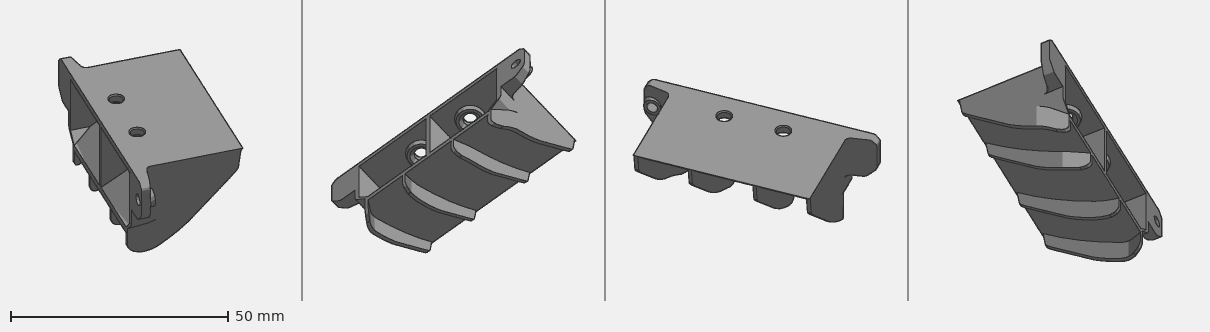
import cadquery as cq
import math

width = 57.5
depth = 27.2
height = 24.2
half_body = 21.8
half_cavity = 20.5
divider = 1.15
roof = 1.55

floor_thickness = 1.6
underside_front_z = -19.8
underside_mid = (6.85, -16.0)

mouth_bottom_z = underside_front_z + floor_thickness
cavity_chamfer = 2.6
corner_z = -15.45
corner_rounding = 2.0

leg_front_x = 18.8
leg_thickness = 1.0
rib_front_x = 7.65
rib_rear_x = 8.4
rib_thickness = 0.8
bend_y = 4.9
bend_tangent = 1.9
straight_y = bend_y + bend_tangent
fin_rear_y = 26.8
fin_toe_radius = 1.6

fin_belly_start = (2.6, -height)
fin_belly_mid = (7.0, -22.1)
fin_belly_end = (13.85, -17.35)
fin_slope_end = (24.1, -7.4)
fin_heel_mid = (25.6, -5.85)
fin_heel_end = (26.1, -5.1)

ear_height = 11.1
ear_tip_thickness = 2.1
ear_root_thickness = 3.55
ear_root_blend = 1.15
ear_top_chamfer = 1.4
ear_top_rounding = 1.15
ear_bottom_chamfer = 2.6
ear_bottom_rounding = 1.7

screw_x = 26.2
screw_z = -5.5
screw_diameter = 2.7
boss_diameter = 4.25
boss_end_y = 3.5
boss_flare_y = 3.0
boss_flare = 0.75

roof_hole_x = 7.3
roof_hole_y = 6.5
roof_hole_diameter = 3.3
roof_hole_chamfer = 0.3
roof_hole_exit_chamfer = 1.0
collar_top_diameter = 7.25
collar_bottom_diameter = 6.55
collar_height = 1.25


def extrude_across_body(side_outline):
    """Extrude a closed YZ outline both ways from the mid plane to the body sides."""
    return side_outline.extrude(half_body, both=True)


def extrude_along_y(front_outline, length):
    """Extrude a closed XZ outline from the front face towards the rear."""
    return front_outline.extrude(-length)


def above_floor_arc(rise):
    """Solid between the top plane and the underside arc lifted by the given rise."""
    outline = (
        cq.Workplane("YZ")
        .moveTo(0, 0)
        .lineTo(0, underside_front_z + rise)
        .threePointArc((underside_mid[0], underside_mid[1] + rise), (depth, rise))
    )
    if rise > 0:
        outline = outline.lineTo(depth, 0)
    return extrude_across_body(outline.close())


def fin_envelope():
    """Side shape shared by every fin, from the rounded front toe to the rear corner."""
    outline = (
        cq.Workplane("YZ")
        .moveTo(0, 0)
        .lineTo(0, -height + fin_toe_radius)
        .radiusArc((fin_toe_radius, -height), -fin_toe_radius)
        .lineTo(*fin_belly_start)
        .threePointArc(fin_belly_mid, fin_belly_end)
        .lineTo(*fin_slope_end)
        .lineTo(*fin_heel_mid)
        .lineTo(*fin_heel_end)
        .lineTo(fin_rear_y, 0)
        .close()
    )
    return extrude_across_body(outline)


def bend_start(front_x, rear_x):
    """Point where the slanted front stretch of a fin runs into its bend arc."""
    angle = math.atan2(rear_x - front_x, bend_y)
    return (rear_x - bend_tangent * math.sin(angle), bend_y - bend_tangent * math.cos(angle))


def fin(front_x, rear_x, thickness):
    """Plate that runs straight to the rear and bends inwards near the front."""
    knee_x, knee_y = bend_start(front_x, rear_x)
    return (
        cq.Workplane("XY")
        .moveTo(front_x, 0)
        .lineTo(knee_x, knee_y)
        .tangentArcPoint((rear_x, straight_y), relative=False)
        .lineTo(rear_x, depth)
        .lineTo(rear_x - thickness, depth)
        .lineTo(rear_x - thickness, straight_y)
        .tangentArcPoint((knee_x - thickness, knee_y), relative=False)
        .lineTo(front_x - thickness, 0)
        .close()
        .extrude(-height)
    )


def both_sides(solid):
    return solid.union(solid.mirror("YZ"))


def cavity():
    """Two compartments with chamfered lower outer corners, down to the curved floor."""
    inner_x = divider / 2
    compartment = extrude_along_y(
        cq.Workplane("XZ").polyline([
            (inner_x, -roof),
            (half_cavity, -roof),
            (half_cavity, mouth_bottom_z + cavity_chamfer),
            (half_cavity - cavity_chamfer, mouth_bottom_z),
            (inner_x, mouth_bottom_z),
        ]).close(),
        depth,
    )
    return both_sides(compartment).intersect(above_floor_arc(floor_thickness))


def corner_cut():
    """Material removed outside the bent leg and below the chamfered mouth corner."""
    clear_x = width / 2
    below = extrude_along_y(
        cq.Workplane("XZ").polyline([
            (half_body, corner_z + corner_rounding),
            (half_body, corner_z),
            (leg_front_x, mouth_bottom_z),
            (leg_front_x, -height),
            (clear_x, -height),
            (clear_x, corner_z + corner_rounding),
        ]).close(),
        straight_y,
    )
    mouth_corner = cq.NearestToPointSelector((half_body, straight_y / 2, corner_z))
    below = below.edges("|Y").edges(mouth_corner).fillet(corner_rounding)
    outside = (
        cq.Workplane("XY")
        .moveTo(leg_front_x, 0)
        .lineTo(*bend_start(leg_front_x, half_body))
        .tangentArcPoint((half_body, straight_y), relative=False)
        .lineTo(clear_x, straight_y)
        .lineTo(clear_x, 0)
        .close()
        .extrude(-height)
    )
    return below.intersect(outside)


def ear():
    """Right ear, tapering in thickness, blended into the side wall."""
    tip_x = width / 2
    taper = (ear_root_thickness - ear_tip_thickness) / (tip_x - half_body)
    blend_y = ear_root_thickness - taper * ear_root_blend
    plan = (
        cq.Workplane("XY")
        .moveTo(half_cavity, 0)
        .lineTo(tip_x, 0)
        .lineTo(tip_x, ear_tip_thickness)
        .lineTo(half_body + ear_root_blend, blend_y)
        .tangentArcPoint((half_body, ear_root_thickness + ear_root_blend), relative=False)
        .lineTo(half_cavity, ear_root_thickness + ear_root_blend)
        .close()
        .extrude(-ear_height)
    )
    return plan.intersect(ear_face(half_cavity))


def ear_face(inner_x):
    """Block with the front outline of the right ear, its chamfers blended by arcs."""
    tip_x = width / 2
    block = extrude_along_y(
        cq.Workplane("XZ").polyline([
            (inner_x, 0),
            (tip_x - ear_top_chamfer, 0),
            (tip_x, -ear_top_chamfer),
            (tip_x, -ear_height + ear_bottom_chamfer),
            (tip_x - ear_bottom_chamfer, -ear_height),
            (inner_x, -ear_height),
        ]).close(),
        depth,
    )
    block = block.edges("|Y").edges(chamfer_edges(0, -ear_height / 2)).fillet(ear_top_rounding)
    return block.edges("|Y").edges(chamfer_edges(-ear_height / 2, -ear_height)).fillet(ear_bottom_rounding)


def chamfer_edges(upper_z, lower_z):
    """Selector for the ear edges near the tip between two heights, both included."""
    margin = 0.6
    return cq.selectors.BoxSelector(
        (width / 2 - 2 * ear_bottom_chamfer, 0, upper_z + margin),
        (width / 2 + margin, depth, lower_z - margin),
    )


def screw_boss():
    """Round boss behind the right ear, flared at its base and trimmed to the ear outline."""
    radius = boss_diameter / 2
    boss = (
        cq.Workplane("XY")
        .lineTo(0, boss_end_y)
        .lineTo(radius, boss_end_y)
        .lineTo(radius, boss_flare_y)
        .tangentArcPoint((radius + boss_flare, ear_tip_thickness), relative=False)
        .lineTo(radius + boss_flare, 0)
        .close()
        .revolve(360, (0, 0, 0), (0, 1, 0))
        .translate((screw_x, 0, screw_z))
    )
    return boss.intersect(ear_face(half_body))


def screw_hole():
    return extrude_along_y(
        cq.Workplane("XZ").center(screw_x, screw_z).circle(screw_diameter / 2), depth)


def roof_collar():
    return (
        cq.Workplane("XY", origin=(roof_hole_x, roof_hole_y, -roof))
        .circle(collar_top_diameter / 2)
        .workplane(offset=-collar_height)
        .circle(collar_bottom_diameter / 2)
        .loft()
    )


def roof_hole():
    """Hole through roof and collar, chamfered at both ends."""
    radius = roof_hole_diameter / 2
    bottom = -roof - collar_height
    return (
        cq.Workplane("XZ")
        .polyline([
            (0, 0),
            (radius + roof_hole_chamfer, 0),
            (radius, -roof_hole_chamfer),
            (radius, bottom + roof_hole_exit_chamfer),
            (radius + roof_hole_exit_chamfer, bottom),
            (0, bottom),
        ])
        .close()
        .revolve(360, (0, 0, 0), (0, 1, 0))
        .translate((roof_hole_x, roof_hole_y, 0))
    )


legs = both_sides(fin(leg_front_x, half_body, leg_thickness))
ribs = both_sides(fin(rib_front_x, rib_rear_x, rib_thickness))
fins = legs.union(ribs).intersect(fin_envelope())

result = (
    above_floor_arc(0)
    .union(fins)
    .cut(both_sides(corner_cut()))
    .cut(cavity())
    .union(both_sides(roof_collar()))
    .cut(both_sides(roof_hole()))
    .union(both_sides(ear()))
    .union(screw_boss())
    .cut(screw_hole())
)